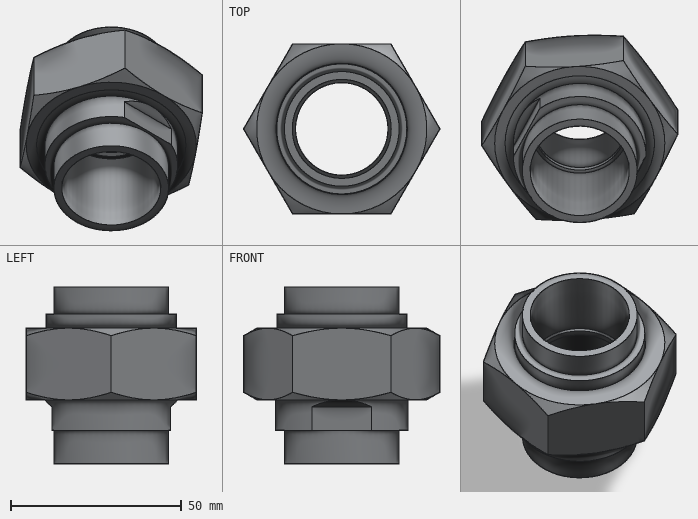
import cadquery as cq
import math


total_height = 52.0
lower_tube_top = 9.9
nut_bottom = 18.8
nut_height = 21.1
nut_top = nut_bottom + nut_height
upper_collar_top = 44.0
lip_thickness = 4.6
flange_thickness = 4.6
seal_thickness = 1.75
flange_top = nut_top - lip_thickness
seal_top = flange_top - flange_thickness
seal_bottom = seal_top - seal_thickness

tube_radius = 16.85
bore_radius = 14.55
seal_bore_radius = 13.55
upper_collar_radius = 19.1
lower_collar_radius = 19.5
collar_clearance = 0.2
nut_cavity_radius = 21.95

across_corners = 57.75
corner_radius = across_corners / 2
flat_radius = corner_radius * math.cos(math.radians(30))
chamfer_angle = 30.0

wrench_half_width = 17.45


def cylinder(radius, bottom, top):
    """Upright cylinder on the Z axis between two heights."""
    return cq.Workplane("XY").workplane(offset=bottom).circle(radius).extrude(top - bottom)


def chamfer_envelope():
    """Round blank with conical ends that trims the corners of the hexagon."""
    chamfer_height = (corner_radius - flat_radius) * math.tan(math.radians(chamfer_angle))
    return (
        cq.Workplane("XZ")
        .moveTo(0, nut_bottom)
        .lineTo(flat_radius, nut_bottom)
        .lineTo(corner_radius, nut_bottom + chamfer_height)
        .lineTo(corner_radius, nut_top - chamfer_height)
        .lineTo(flat_radius, nut_top)
        .lineTo(0, nut_top)
        .close()
        .revolve(360, (0, 0, 0), (0, 1, 0))
    )


def make_nut():
    """Hexagonal nut with a lip at the top that holds the flange of the upper tail."""
    hexagon = cq.Workplane("XY").workplane(offset=nut_bottom).polygon(6, across_corners).extrude(nut_height)
    nut = hexagon.intersect(chamfer_envelope())
    nut = nut.cut(cylinder(upper_collar_radius + collar_clearance, nut_bottom, nut_top))
    return nut.cut(cylinder(nut_cavity_radius, nut_bottom, flange_top))


def make_upper_tail():
    """Tube with a collar through the nut lip and a flange beneath it."""
    tail = cylinder(tube_radius, seal_top, total_height)
    tail = tail.union(cylinder(upper_collar_radius, seal_top, upper_collar_top))
    tail = tail.union(cylinder(nut_cavity_radius, seal_top, flange_top))
    return tail.cut(cylinder(bore_radius, seal_top, total_height))


def wrench_flat_cutter(side):
    """Cutter for one wrench flat; its roof rises outward at 45 degrees to the nut."""
    flat_depth = lower_collar_radius - wrench_half_width
    return (
        cq.Workplane("YZ")
        .moveTo(side * wrench_half_width, lower_tube_top)
        .lineTo(side * lower_collar_radius, lower_tube_top)
        .lineTo(side * lower_collar_radius, nut_bottom)
        .lineTo(side * wrench_half_width, nut_bottom - flat_depth)
        .close()
        .extrude(lower_collar_radius, both=True)
    )


def make_lower_tail():
    """Tube with a collar carrying two wrench flats and a head inside the nut."""
    collar = cylinder(lower_collar_radius, lower_tube_top, nut_bottom)
    for side in (-1, 1):
        collar = collar.cut(wrench_flat_cutter(side))
    tail = cylinder(tube_radius, 0, seal_bottom)
    tail = tail.union(collar)
    tail = tail.union(cylinder(nut_cavity_radius, nut_bottom, seal_bottom))
    return tail.cut(cylinder(bore_radius, 0, seal_bottom))


def make_seal():
    """Flat ring between the tails, forming the narrow ledge in the bore."""
    ring = cylinder(nut_cavity_radius, seal_bottom, seal_top)
    return ring.cut(cylinder(seal_bore_radius, seal_bottom, seal_top))


nut = make_nut()
upper_tail = make_upper_tail()
lower_tail = make_lower_tail()
seal = make_seal()

bodies = [nut, upper_tail, lower_tail, seal]
result = cq.Compound.makeCompound([body.solids().val() for body in bodies])